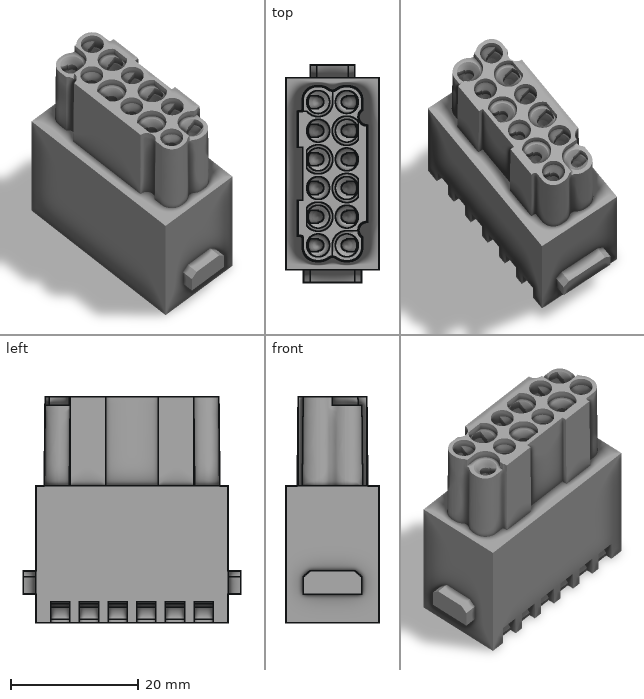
import cadquery as cq
import math

BODY_X = 14.65
BODY_Y = 30.2
BODY_HEIGHT = 21.5
TOTAL_HEIGHT = 35.51
TOWER_HEIGHT = TOTAL_HEIGHT - BODY_HEIGHT
OVERALL_Y = 34.2

PITCH = 4.5
ROWS = 6
COLUMN_X = PITCH / 2
END_ROW_Y = PITCH * (ROWS - 1) / 2
row_centers = [END_ROW_Y - row * PITCH for row in range(ROWS)]

TAB_LENGTH = (OVERALL_Y - BODY_Y) / 2
TAB_BOTTOM_Z = 4.5
TAB_HEIGHT = 3.65
TAB_CHAMFER_X = 1.05
TAB_CHAMFER_Z = 0.92
FRONT_TAB_WIDTH = 9.15
BACK_TAB_WIDTH = 7.0

DRAFT_ANGLE = 0.6
EAR_X = 5.4
EAR_END_Y = 9.7
END_X = 4.6
END_Y = 13.65
LOBE_RADIUS = 2.1
END_FLAT_LENGTH = 0.5
VALLEY_HALF_WIDTH = 0.7
EAR_FILLET = 0.4
KEY_GROOVE_RADIUS = 1.4
KEY_GROOVE_Y = 8.9
RECESS_X = 4.7
RECESS_HALF_LENGTH = 4.15

HOLE_DIAMETER = 3.6
COUNTERBORE_DIAMETER = 4.6
STEP_DEPTH = 1.35
PIN_HOLE_DIAMETER = 1.75
PIN_TIP_ANGLE = 118
RELIEF_SEAT_DIAMETER = 3.2
RELIEF_WIDTH = 2.05
RELIEF_DEPTH = 1.4
MIDLINE_OVERLAP = 0.05

NOTCH_WIDTH = 3.0
NOTCH_HEIGHT = 3.27
NOTCH_FLOOR_DEPTH = 1.1
NOTCH_RAMP_START_Z = 0.55
NOTCH_DEPTH = 3.0
NOTCH_APEX_Z = 2.45
NOTCH_LIP_Z = 3.0


def make_body():
    return cq.Workplane("XY").box(BODY_X, BODY_Y, BODY_HEIGHT, centered=(True, True, False))


def make_tab(width, side):
    """Tab with chamfered top corners; side is the sign of the Y face it stands on."""
    half = width / 2
    top = TAB_BOTTOM_Z + TAB_HEIGHT
    shoulder = top - TAB_CHAMFER_Z
    profile = [
        (-half, TAB_BOTTOM_Z),
        (half, TAB_BOTTOM_Z),
        (half, shoulder),
        (half - TAB_CHAMFER_X, top),
        (TAB_CHAMFER_X - half, top),
        (-half, shoulder),
    ]
    face = cq.Workplane("XZ", origin=(0, side * BODY_Y / 2, 0))
    return face.polyline(profile).close().extrude(-side * TAB_LENGTH)


def end_points(side):
    """Points along one tower end, from the -X side to the +X side."""
    lobe_x = END_X - LOBE_RADIUS
    lobe_y = END_Y - LOBE_RADIUS
    inner_x = lobe_x - END_FLAT_LENGTH
    diagonal = LOBE_RADIUS * math.sqrt(0.5)

    run = inner_x - VALLEY_HALF_WIDTH
    rise = math.sqrt(LOBE_RADIUS**2 - run**2)
    shoulder = (VALLEY_HALF_WIDTH, lobe_y + rise)
    hollow_radius = LOBE_RADIUS * VALLEY_HALF_WIDTH / run
    hollow_y = shoulder[1] + hollow_radius * rise / LOBE_RADIUS - hollow_radius

    half_angle = math.asin(run / LOBE_RADIUS) / 2
    inner_mid = (
        inner_x - LOBE_RADIUS * math.sin(half_angle),
        lobe_y + LOBE_RADIUS * math.cos(half_angle),
    )
    right_half = [
        shoulder,
        inner_mid,
        (inner_x, END_Y),
        (lobe_x, END_Y),
        (lobe_x + diagonal, lobe_y + diagonal),
        (END_X, lobe_y),
    ]
    left_half = [(-x, y) for x, y in reversed(right_half)]
    return [(x, side * y) for x, y in left_half + [(0, hollow_y)] + right_half]


def draw_end(sketch, points):
    """Draw a tower end through its points; the pen already stands on the first one."""
    sketch = sketch.threePointArc(points[1], points[2]).lineTo(*points[3])
    sketch = sketch.threePointArc(points[4], points[5])
    sketch = sketch.threePointArc(points[6], points[7])
    sketch = sketch.threePointArc(points[8], points[9]).lineTo(*points[10])
    return sketch.threePointArc(points[11], points[12])


def make_tower():
    back = end_points(1)
    front = list(reversed(end_points(-1)))
    fillet_offset = EAR_FILLET * (1 - math.sqrt(0.5))
    fillet_x = END_X + EAR_FILLET
    fillet_y = EAR_END_Y + EAR_FILLET
    fillet_mid = (END_X + fillet_offset, EAR_END_Y + fillet_offset)

    groove_end_y = KEY_GROOVE_Y + math.sqrt(KEY_GROOVE_RADIUS**2 - (EAR_X - END_X) ** 2)
    groove_ear_y = KEY_GROOVE_Y - KEY_GROOVE_RADIUS
    groove_mid = (EAR_X - KEY_GROOVE_RADIUS, KEY_GROOVE_Y)

    sketch = cq.Workplane("XY", origin=(0, 0, TOTAL_HEIGHT)).moveTo(-EAR_X, -EAR_END_Y)
    sketch = sketch.lineTo(-EAR_X, EAR_END_Y).lineTo(-fillet_x, EAR_END_Y)
    sketch = sketch.threePointArc((-fillet_mid[0], fillet_mid[1]), (-END_X, fillet_y))
    sketch = draw_end(sketch.lineTo(*back[0]), back)
    sketch = sketch.lineTo(END_X, groove_end_y).threePointArc(groove_mid, (EAR_X, groove_ear_y))
    sketch = sketch.lineTo(EAR_X, -groove_ear_y)
    sketch = sketch.threePointArc((groove_mid[0], -groove_mid[1]), (END_X, -groove_end_y))
    sketch = draw_end(sketch.lineTo(*front[0]), front)
    sketch = sketch.lineTo(-END_X, -fillet_y)
    sketch = sketch.threePointArc((-fillet_mid[0], -fillet_mid[1]), (-fillet_x, -EAR_END_Y))
    return sketch.close().extrude(-TOWER_HEIGHT, taper=-DRAFT_ANGLE)


def make_recess():
    recess = cq.Workplane("XY").box(
        BODY_X, 2 * RECESS_HALF_LENGTH, TOWER_HEIGHT, centered=(True, True, False)
    )
    return recess.translate((-RECESS_X - BODY_X / 2, 0, BODY_HEIGHT))


def cylinder(diameter, top_z, depth):
    return cq.Workplane("XY", origin=(0, 0, top_z)).circle(diameter / 2).extrude(-depth)


def revolve_about_z(profile):
    """Solid of revolution from (radius, z) points."""
    return cq.Workplane("XZ").polyline(profile).close().revolve(360, (0, 0), (0, 1))


def make_contact_hole():
    """Hole on the Z axis: straight mouth, 45 degree funnel, pointed pin hole, relief on +X."""
    radius = HOLE_DIAMETER / 2
    pin_radius = PIN_HOLE_DIAMETER / 2
    seat_radius = RELIEF_SEAT_DIAMETER / 2
    mouth_z = TOTAL_HEIGHT - STEP_DEPTH
    seat_z = mouth_z - RELIEF_DEPTH
    pin_z = seat_z - (seat_radius - pin_radius)
    tip_z = pin_z - pin_radius / math.tan(math.radians(PIN_TIP_ANGLE / 2))

    hole = revolve_about_z([
        (0, TOTAL_HEIGHT),
        (radius, TOTAL_HEIGHT),
        (radius, mouth_z),
        (pin_radius, mouth_z - (radius - pin_radius)),
        (pin_radius, pin_z),
        (0, tip_z),
    ])
    relief = revolve_about_z([
        (0, mouth_z),
        (radius, mouth_z),
        (radius, seat_z),
        (seat_radius, seat_z),
        (pin_radius, pin_z),
        (0, pin_z),
    ])
    slot = cq.Workplane("XY").box(
        HOLE_DIAMETER, RELIEF_WIDTH, TOTAL_HEIGHT, centered=(False, True, False)
    )
    return hole.union(relief.intersect(slot))


def make_counterbore():
    """Counterbore on the Z axis, cut flat on +X in line with the hole wall."""
    bore = cylinder(COUNTERBORE_DIAMETER, TOTAL_HEIGHT, STEP_DEPTH)
    beyond_flat = cq.Workplane("XY").box(
        PITCH, 2 * PITCH, TOTAL_HEIGHT, centered=(False, True, False)
    )
    return bore.cut(beyond_flat.translate((HOLE_DIAMETER / 2, 0, 0)))


def corner_box(x_min, y_max):
    """Step-deep box that runs from x_min toward +X and from y_max toward -Y."""
    box = cq.Workplane("XY").box(BODY_X, BODY_Y, STEP_DEPTH, centered=False)
    return box.translate((x_min, y_max - BODY_Y, TOTAL_HEIGHT - STEP_DEPTH))


def make_low_corner(ledge_x, ledge_y):
    """Lowered corner around the +X, -Y socket.

    It joins the socket's counterbore, the end of the tower beyond the socket's axis, and
    the side of the tower from the offsets ledge_x and ledge_y off that axis outward.
    """
    bore = cylinder(COUNTERBORE_DIAMETER, TOTAL_HEIGHT, STEP_DEPTH)
    bore = bore.translate((COLUMN_X, -END_ROW_Y, 0))
    end_part = corner_box(-MIDLINE_OVERLAP, -END_ROW_Y)
    side_part = corner_box(COLUMN_X + ledge_x, -END_ROW_Y + ledge_y)
    return bore.union(end_part).union(side_part)


def make_front_low_corner():
    """Lowered +X, -Y corner, its ledge level with the top of the counterbore."""
    return make_low_corner(0, COUNTERBORE_DIAMETER / 2)


def make_back_low_corner():
    """Lowered -X, +Y corner, its ledge meeting the counterbore in line with the hole wall."""
    ledge_x = HOLE_DIAMETER / 2
    ledge_y = math.sqrt((COUNTERBORE_DIAMETER / 2) ** 2 - ledge_x**2)
    return make_low_corner(ledge_x, ledge_y).rotate((0, 0, 0), (0, 0, 1), 180)


def place_in_grid(tool, column, y):
    """Move a +X facing tool to a socket; in the left column it is turned to face -X."""
    if column < 0:
        tool = tool.rotate((0, 0, 0), (0, 0, 1), 180)
    return tool.translate((column * COLUMN_X, y, 0))


def make_notch():
    """Release notch opening on the -X face and the bottom, centred on Y = 0."""
    lip_depth = NOTCH_DEPTH - (NOTCH_LIP_Z - NOTCH_APEX_Z)
    profile = [
        (0, 0),
        (NOTCH_FLOOR_DEPTH, 0),
        (NOTCH_FLOOR_DEPTH, NOTCH_RAMP_START_Z),
        (NOTCH_DEPTH, NOTCH_APEX_Z),
        (lip_depth, NOTCH_LIP_Z),
        (lip_depth, NOTCH_HEIGHT),
        (0, NOTCH_HEIGHT),
    ]
    face = cq.Workplane("XZ", origin=(-BODY_X / 2, 0, 0))
    return face.polyline(profile).close().extrude(NOTCH_WIDTH / 2, both=True)


tower = make_tower().cut(make_recess())
result = make_body().union(tower)
result = result.union(make_tab(FRONT_TAB_WIDTH, -1)).union(make_tab(BACK_TAB_WIDTH, 1))
result = result.cut(make_front_low_corner()).cut(make_back_low_corner())

contact_hole = make_contact_hole()
counterbore = make_counterbore()
notch = make_notch()
for row, row_y in enumerate(row_centers):
    for column in (-1, 1):
        result = result.cut(place_in_grid(contact_hole, column, row_y))
    result = result.cut(notch.translate((0, row_y, 0)))

    if 0 < row < ROWS - 1:
        bored_column = 1 if row % 2 else -1
        result = result.cut(place_in_grid(counterbore, bored_column, row_y))